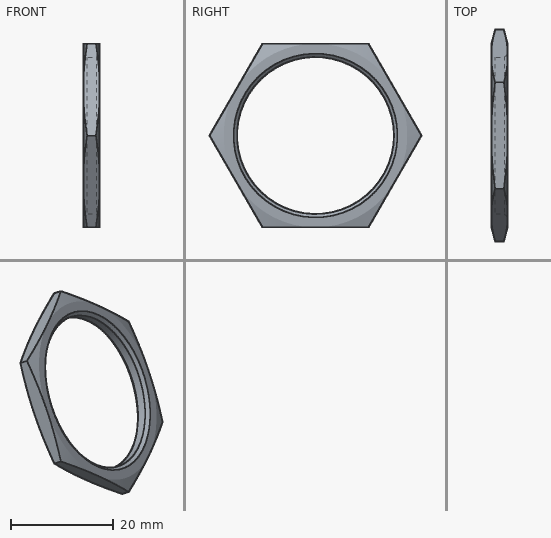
import cadquery as cq
import math

thickness = 3.2
across_flats = 36.0
side_count = 6
across_corners = across_flats / math.cos(math.pi / side_count)

face_diameter = across_flats
corner_chamfer_angle = 15.0
corner_clearance = 1.0

bore_diameter = 30.7
countersink_diameter = 32.1
countersink_angle = 45.0


def revolve_about_x(profile_points):
    """Revolve a closed (axial, radial) profile about the X axis."""
    return cq.Workplane("XY").polyline(profile_points).close().revolve(360, (0, 0, 0), (1, 0, 0))


def hexagonal_blank():
    """Hexagonal plate centred on the origin."""
    return cq.Workplane("YZ").polygon(side_count, across_corners).extrude(thickness / 2, both=True)


def corner_envelope():
    """Solid of revolution with conical ends that bounds the chamfered corners."""
    half = thickness / 2
    face_radius = face_diameter / 2
    outer_radius = across_corners / 2 + corner_clearance
    drop = (outer_radius - face_radius) * math.tan(math.radians(corner_chamfer_angle))
    return revolve_about_x([
        (-half, 0),
        (-half, face_radius),
        (-half + drop, outer_radius),
        (half - drop, outer_radius),
        (half, face_radius),
        (half, 0),
    ])


def countersunk_bore():
    """Through bore widened by a conical countersink at both faces."""
    half = thickness / 2
    bore_radius = bore_diameter / 2
    countersink_radius = countersink_diameter / 2
    depth = (countersink_radius - bore_radius) / math.tan(math.radians(countersink_angle))
    return revolve_about_x([
        (-half, 0),
        (-half, countersink_radius),
        (-half + depth, bore_radius),
        (half - depth, bore_radius),
        (half, countersink_radius),
        (half, 0),
    ])


result = hexagonal_blank().intersect(corner_envelope()).cut(countersunk_bore())